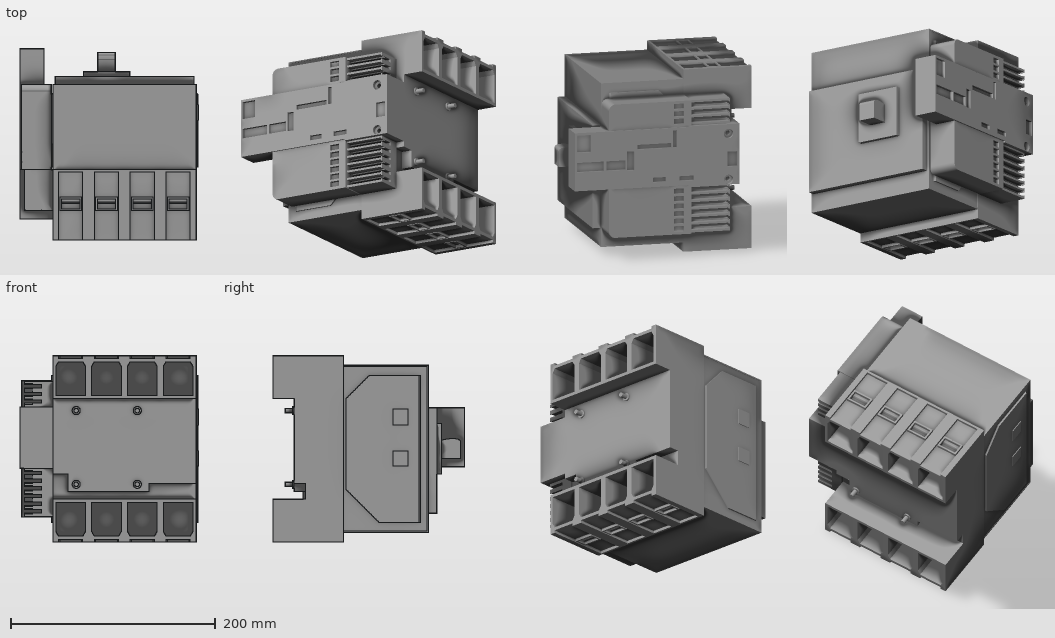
import cadquery as cq

base_width = 140.0
base_depth = 69.0
half_height = 90.98
shield_inner_z = 49.0
core_front_y = 31.8
boss_front_y = 20.5
boss_left_z = -24.5
boss_middle_z = -41.7
boss_right_z = -33.8
boss_step_left_x = 14.8
boss_step_right_x = 93.9

pole_count = 4
pole_pitch = 35.0
first_pole_x = 17.4
pocket_width = 29.0
pocket_bottom_z = 52.2
pocket_top_z = 85.0
pocket_corner_x = 2.6
pocket_corner_z = 4.5
back_wall = 2.2
recess_width = 23.5
recess_floor_z = 88.3
clip_width = 21.1
clip_front_y = 28.8
clip_back_y = 42.0
clip_wall = 1.7
clip_step_y = 35.9
clip_step_run = 1.5
clip_step_drop = 1.9

cover_back_y = 152.0
cover_half_height = 81.7
panel_margin = 1.5
panel_depth = 0.4
side_plate_thickness = 1.5
side_plate_front_y = 71.5
side_plate_back_y = 143.8
side_plate_half_height = 71.8
side_plate_top_slope = 22.6
side_plate_bottom_slope = 32.2
pad_thickness = 0.7
pad_front_y = 117.2
pad_back_y = 132.0
pad_spans_z = [(23.2, 38.9), (-16.6, -1.9)]
face_margin = 2.2
face_back_y = 159.9
face_bottom_z = -63.0
face_top_z = 40.0
bezel_left_x = 29.7
bezel_right_x = 75.2
bezel_back_y = 164.5
bezel_half_height = 24.7

toggle_left_x = 43.8
toggle_width = 17.2
toggle_tip_y = 183.3
toggle_half_height = 9.4

module_left_x = -32.2
module_back_y = 187.0
module_tail_x = -8.6
rail_bottom_z = -17.5
rail_top_z = 40.4
nose_bottom_z = -19.0
nose_top_z = 41.1
box_left_x = -30.5
box_half_height = 66.5
box_fillet = 6.4
block_left_x = -27.5
block_front_y = 29.2
block_half_height = 66.0
slot_pitch = 7.5
upper_slot_z = 46.2
upper_slot_count = 3
lower_slot_z = -61.0
lower_slot_count = 6
slot_height = 5.5
slot_depth = 7.5
slot_front_wall = 0.7
vent_height = 3.2
vent_right_x = -11.0
window_front_y = 76.1
window_back_y = 86.2
window_depth = 3.7
label_depth = 3.2
label_recesses = [
    (170.7, 185.0, 20.8, 38.0),
    (157.5, 185.0, 1.1, 10.7),
    (135.5, 155.2, 1.1, 10.7),
    (127.0, 134.0, 0.4, 19.3),
    (89.4, 123.8, 20.8, 25.5),
    (84.0, 87.9, 20.8, 38.0),
    (95.0, 108.3, -12.9, -8.2),
    (66.8, 81.5, -12.9, -8.2),
    (23.0, 33.1, -1.1, 13.7),
]
fixing_y = 31.8
fixing_heights = (31.8, -14.0)
fixing_head_radius = 4.7
fixing_head_depth = 3.7
fixing_hole_radius = 2.2
fixing_hole_depth = 11.2

screw_places = [(x, z) for x in (22.8, 82.5) for z in (37.4, -34.6)]
collar_radius = 4.0
collar_length = 1.5
stud_radius = 2.2
stud_length = 7.3


def block(x0, x1, y0, y1, z0, z1):
    """A box given by its limits along each axis."""
    return cq.Workplane("XY").box(x1 - x0, y1 - y0, z1 - z0, centered=False).translate((x0, y0, z0))


def rod(x, y, z, radius, length):
    """A cylinder that starts at y and runs toward -Y."""
    return cq.Workplane("XZ", origin=(x, y, z)).circle(radius).extrude(length)


def terminal_cavity(x):
    """The wire pocket of one pole, with its two upper corners cut off."""
    half = pocket_width / 2
    outline = [
        (x - half, pocket_bottom_z),
        (x + half, pocket_bottom_z),
        (x + half, pocket_top_z - pocket_corner_z),
        (x + half - pocket_corner_x, pocket_top_z),
        (x - half + pocket_corner_x, pocket_top_z),
        (x - half, pocket_top_z - pocket_corner_z),
    ]
    return cq.Workplane("XZ").polyline(outline).close().extrude(back_wall - base_depth)


def clip_window(x):
    """The stepped hollow inside the clip frame of one pole."""
    half = clip_width / 2 - clip_wall
    front = clip_front_y + clip_wall
    back = clip_back_y - clip_wall
    low_floor_z = recess_floor_z - clip_step_drop
    outline = [
        (front, half_height),
        (front, low_floor_z),
        (clip_step_y, low_floor_z),
        (clip_step_y + clip_step_run, recess_floor_z),
        (back, recess_floor_z),
        (back, half_height),
    ]
    return cq.Workplane("YZ", origin=(x - half, 0, 0)).polyline(outline).close().extrude(2 * half)


def make_shield():
    """The upper terminal shield."""
    shield = block(0, base_width, 0, base_depth, shield_inner_z, half_height)
    for i in range(pole_count):
        x = first_pole_x + i * pole_pitch
        half = recess_width / 2
        recess = block(x - half, x + half, 0, base_depth - back_wall, recess_floor_z, half_height)
        half = clip_width / 2
        clip = block(x - half, x + half, clip_front_y, clip_back_y, recess_floor_z, half_height)
        shield = shield.cut(terminal_cavity(x)).cut(recess).union(clip).cut(clip_window(x))
    return shield


def make_base():
    """The core with its stepped front boss, between the two mirrored shields."""
    core = block(0, base_width, core_front_y, base_depth, -shield_inner_z, shield_inner_z)
    outline = [
        (0, shield_inner_z),
        (0, boss_left_z),
        (boss_step_left_x, boss_left_z),
        (boss_step_left_x, boss_middle_z),
        (boss_step_right_x, boss_middle_z),
        (boss_step_right_x, boss_right_z),
        (base_width, boss_right_z),
        (base_width, shield_inner_z),
    ]
    boss = cq.Workplane("XZ", origin=(0, core_front_y, 0)).polyline(outline).close()
    core = core.union(boss.extrude(core_front_y - boss_front_y))
    upper_shield = make_shield()
    return core.union(upper_shield).union(upper_shield.mirror("XY")).clean()


def side_plate(inner_x):
    """A thin plate on one side, sloped at its front and chamfered along its back edge."""
    outline = [
        (side_plate_front_y, side_plate_half_height - side_plate_top_slope),
        (side_plate_front_y + side_plate_top_slope, side_plate_half_height),
        (side_plate_back_y, side_plate_half_height),
        (side_plate_back_y, -side_plate_half_height),
        (side_plate_front_y + side_plate_bottom_slope, -side_plate_half_height),
        (side_plate_front_y, side_plate_bottom_slope - side_plate_half_height),
    ]
    on_left = inner_x < base_width / 2
    outward = -1 if on_left else 1
    reach = outward * (side_plate_thickness + panel_depth)
    plate = cq.Workplane("YZ", origin=(inner_x, 0, 0)).polyline(outline).close().extrude(reach)
    back_edge = plate.faces("<X" if on_left else ">X").edges(">Y")
    return back_edge.chamfer(side_plate_thickness * 0.99).val()


def make_cover():
    """The rear cover with its side panels and plates, raised face and toggle bezel."""
    cover = block(0, base_width, base_depth, cover_back_y, -cover_half_height, cover_half_height)
    panel_back = cover_back_y - panel_margin
    panel_top = cover_half_height - panel_margin
    for x in (0, base_width - panel_depth):
        cover = cover.cut(block(x, x + panel_depth, base_depth, panel_back, -panel_top, panel_top))
    for inner_x in (panel_depth, base_width - panel_depth):
        cover = cover.union(cq.Workplane(side_plate(inner_x)))
    pad_x = base_width + side_plate_thickness
    for bottom, top in pad_spans_z:
        cover = cover.union(block(pad_x, pad_x + pad_thickness, pad_front_y, pad_back_y, bottom, top))
    face = block(
        face_margin, base_width - face_margin, cover_back_y, face_back_y, face_bottom_z, face_top_z
    )
    bezel = block(
        bezel_left_x, bezel_right_x, face_back_y, bezel_back_y, -bezel_half_height, bezel_half_height
    )
    return cover.union(face).union(bezel)


def make_toggle():
    """The operating lever, with a gently crowned top and a rounded tip."""
    top = toggle_half_height
    profile = (
        cq.Workplane("YZ", origin=(toggle_left_x, 0, 0))
        .moveTo(bezel_back_y, -top)
        .lineTo(toggle_tip_y, -top)
        .lineTo(toggle_tip_y, top - 3.0)
        .threePointArc((toggle_tip_y - 0.7, top - 1.1), (toggle_tip_y - 2.2, top))
        .threePointArc((toggle_tip_y - 4.5, top + 0.5), (toggle_tip_y - 7.0, top + 0.7))
        .threePointArc((toggle_tip_y - 12.7, top + 0.4), (bezel_back_y, top - 0.7))
        .close()
    )
    return profile.extrude(toggle_width)


def slot_heights():
    """Mid-heights of all the terminal slots and of the windows behind them."""
    upper = [upper_slot_z + i * slot_pitch for i in range(upper_slot_count)]
    lower = [lower_slot_z + i * slot_pitch for i in range(lower_slot_count)]
    return upper + lower


def make_module():
    """The side module: a long rail over a rear box and a slotted terminal block."""
    plate_x = -side_plate_thickness
    box = block(box_left_x, plate_x, base_depth, cover_back_y, -box_half_height, box_half_height)
    box = box.faces(">Y").edges("|X").fillet(box_fillet)
    terminals = block(
        block_left_x, 0, block_front_y, base_depth, -block_half_height, block_half_height
    )
    for z in slot_heights():
        low = z - slot_height / 2
        high = z + slot_height / 2
        groove_front = block_front_y + slot_front_wall
        groove_x = block_left_x + slot_depth
        terminals = terminals.cut(block(block_left_x, groove_x, groove_front, base_depth, low, high))
        vent_low = z - vent_height / 2
        vent_high = z + vent_height / 2
        vent = block(block_left_x, vent_right_x, block_front_y, base_depth, vent_low, vent_high)
        terminals = terminals.cut(vent)
        window_x = box_left_x + window_depth
        box = box.cut(block(box_left_x, window_x, window_front_y, window_back_y, low, high))
    rail = block(module_left_x, plate_x, base_depth, cover_back_y, rail_bottom_z, rail_top_z)
    tail = block(
        module_left_x, module_tail_x, cover_back_y, module_back_y, rail_bottom_z, rail_top_z
    )
    nose = block(module_left_x, 0, boss_front_y, base_depth, nose_bottom_z, nose_top_z)
    module = box.union(terminals).union(rail).union(tail).union(nose)
    label_x = module_left_x + label_depth
    for front, back, bottom, top in label_recesses:
        module = module.cut(block(module_left_x, label_x, front, back, bottom, top))
    for z in fixing_heights:
        place = cq.Workplane("YZ", origin=(module_left_x, fixing_y, z))
        module = module.cut(place.circle(fixing_head_radius).extrude(fixing_head_depth))
        module = module.cut(place.circle(fixing_hole_radius).extrude(fixing_hole_depth))
    return module


def make_screw(x, z):
    """A collared stud standing on the front boss."""
    collar = rod(x, boss_front_y, z, collar_radius, collar_length)
    return collar.union(rod(x, boss_front_y - collar_length, z, stud_radius, stud_length))


base = make_base()
cover = make_cover()
toggle = make_toggle()
module = make_module()
screws = [make_screw(x, z) for x, z in screw_places]

result = cq.Compound.makeCompound(
    [base.val(), cover.val(), toggle.val(), module.val(), *[screw.val() for screw in screws]]
)